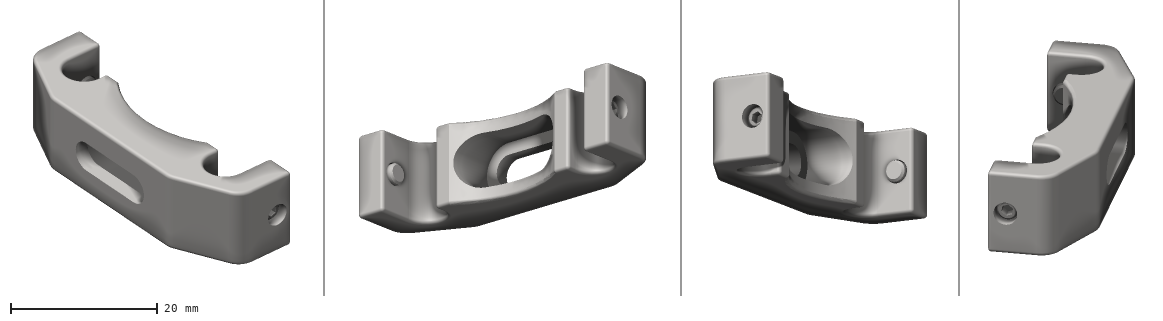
import cadquery as cq
import math

length = 45.0
depth = 13.5
height = 12.0
front_y = -depth / 2
back_y = depth / 2
half_length = length / 2
edge_radius = 0.5

front_flat_length = 25.0
slope_angle = 25.0
front_corner_radius = 3.0
slope_run = half_length - front_flat_length / 2
slope_rise = slope_run * math.tan(math.radians(slope_angle))

arm_thickness = 4.5
notch_radius = 3.0
notch_straight_depth = 5.5
arm_inner_x = half_length - arm_thickness
notch_x = arm_inner_x - notch_radius
notch_inner_x = notch_x - notch_radius
notch_center_y = back_y - notch_straight_depth

land_drop = 4.0
saddle_drop = 7.0
saddle_radius = 16.5
land_y = back_y - land_drop
saddle_bottom_y = back_y - saddle_drop
saddle_sag = saddle_drop - land_drop
saddle_half_width = math.sqrt(saddle_radius**2 - (saddle_radius - saddle_sag) ** 2)

slot_spacing = 10.0
slot_width = 4.5
counterbore_width = 8.0
web_thickness = 2.1

screw_diameter = 3.0
screw_length = 4.0
screw_chamfer = 0.3
screw_protrusion = 0.7
screw_hole_diameter = 3.3
screw_inset = 2.5
screw_y = back_y - screw_inset
socket_across_flats = 1.5
socket_depth = 1.5
socket_turn = 10.0


def body_block():
    """Bracket outline, extruded over the height, with its edges rounded."""
    outline = (
        cq.Workplane("XY")
        .workplane(offset=-height / 2)
        .moveTo(-front_flat_length / 2, front_y)
        .lineTo(front_flat_length / 2, front_y)
        .lineTo(half_length, front_y + slope_rise)
        .lineTo(half_length, back_y)
        .lineTo(arm_inner_x, back_y)
        .lineTo(arm_inner_x, notch_center_y)
        .threePointArc((notch_x, notch_center_y - notch_radius), (notch_inner_x, notch_center_y))
        .lineTo(notch_inner_x, land_y)
        .lineTo(saddle_half_width, land_y)
        .threePointArc((0, saddle_bottom_y), (-saddle_half_width, land_y))
        .lineTo(-notch_inner_x, land_y)
        .lineTo(-notch_inner_x, notch_center_y)
        .threePointArc((-notch_x, notch_center_y - notch_radius), (-arm_inner_x, notch_center_y))
        .lineTo(-arm_inner_x, back_y)
        .lineTo(-half_length, back_y)
        .lineTo(-half_length, front_y + slope_rise)
        .close()
    )
    block = outline.extrude(height)

    front_corners = []
    back_corners = []
    for side in (-1, 1):
        front_corners += [
            (side * front_flat_length / 2, front_y, 0),
            (side * half_length, front_y + slope_rise, 0),
        ]
        back_corners += [
            (side * half_length, back_y, 0),
            (side * arm_inner_x, back_y, 0),
            (side * notch_inner_x, land_y, 0),
        ]
    for corners, radius in ((front_corners, front_corner_radius), (back_corners, edge_radius)):
        for corner in corners:
            block = block.edges(cq.selectors.NearestToPointSelector(corner)).fillet(radius)
    return block.faces("<Z or >Z").edges().fillet(edge_radius)


def slot_cutter(width, start_y):
    """Round-ended slot running from start_y out past the back of the bracket."""
    return (
        cq.Workplane("XZ", origin=(0, start_y, 0))
        .slot2D(slot_spacing + width, width)
        .extrude(-depth)
    )


def screw_hole(side):
    """Clearance hole through the arm on the given side (-1 or +1)."""
    return (
        cq.Workplane("YZ", origin=(side * half_length, screw_y, 0))
        .circle(screw_hole_diameter / 2)
        .extrude(-side * arm_thickness)
    )


def make_bracket():
    bracket = body_block()
    bracket = bracket.cut(slot_cutter(slot_width, front_y))
    bracket = bracket.cut(slot_cutter(counterbore_width, front_y + web_thickness))
    for side in (-1, 1):
        bracket = bracket.cut(screw_hole(side))
    return bracket


def make_set_screw(side):
    """Set screw in one arm: socket faces outward, tip stands into the notch."""
    tip_x = arm_inner_x - screw_protrusion
    shank = (
        cq.Workplane("YZ")
        .circle(screw_diameter / 2)
        .extrude(screw_length)
        .edges()
        .chamfer(screw_chamfer)
    )
    socket = (
        cq.Workplane("YZ", origin=(screw_length, 0, 0))
        .polygon(6, socket_across_flats, circumscribed=True)
        .extrude(-socket_depth)
        .rotate((0, 0, 0), (1, 0, 0), -socket_turn)
    )
    screw = shank.cut(socket).translate((tip_x, screw_y, 0))
    return screw if side > 0 else screw.rotate((0, screw_y, 0), (0, screw_y, 1), 180)


bracket = make_bracket()
set_screws = [make_set_screw(side) for side in (-1, 1)]

result = cq.Compound.makeCompound([bracket.val(), *[screw.val() for screw in set_screws]])